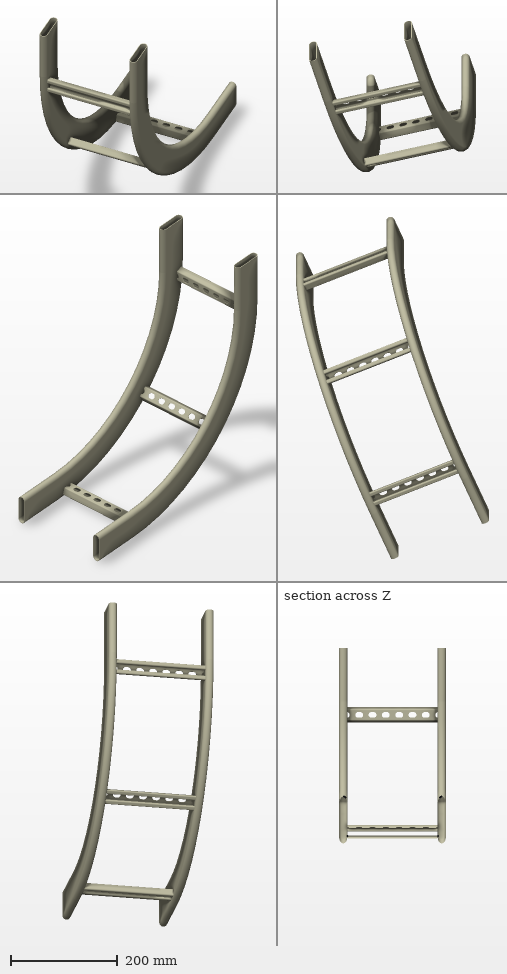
import cadquery as cq
import math


overall_length = 460.0
overall_width = 200.0
straight_length = 100.0
rail_depth = 60.0
rail_thickness = 15.0
rail_wall = 1.15

bend_center = overall_length - straight_length
middle_radius = bend_center - rail_depth / 2
rail_offset = (overall_width - rail_thickness) / 2

rung_length = overall_width - 2 * rail_thickness
rung_width = 30.5
rung_depth = 15.0
rung_sheet = 1.0
mouth_width = 12.5
lip_return = 3.0
side_slope = 18.0
bend_radius = 2.0
rung_inset = 7.0
end_rung_shift = 25.5

rung_mouth_radius = bend_center - rung_inset

slot_length = 14.5
slot_width = 10.5
slot_count = 8
slot_pitch = overall_width / slot_count


def obround_tube_section(plane):
    """Cross-section of a rail, with its depth along the plane's local Y."""
    bore_thickness = rail_thickness - 2 * rail_wall
    bore_depth = rail_depth - 2 * rail_wall
    return (
        cq.Workplane(plane)
        .slot2D(rail_depth, rail_thickness, 90)
        .slot2D(bore_depth, bore_thickness, 90)
    )


def make_rail(x):
    """One rail: straight leg up, quarter bend, straight leg along Y."""
    leg_middle = rail_depth / 2
    diagonal = bend_center - middle_radius * math.cos(math.pi / 4)
    path = (
        cq.Workplane("YZ", origin=(x, 0, 0))
        .moveTo(leg_middle, overall_length)
        .lineTo(leg_middle, bend_center)
        .threePointArc((diagonal, diagonal), (bend_center, leg_middle))
        .lineTo(overall_length, leg_middle)
    )
    top_end = cq.Plane(origin=(x, leg_middle, overall_length), xDir=(1, 0, 0), normal=(0, 0, 1))
    return obround_tube_section(top_end).sweep(path)


def rung_blank():
    """Rung without slots, centred along X, its mouth at Z = 0 and its web at the top."""
    half_sheet = rung_sheet / 2
    bottom = half_sheet
    top = rung_depth - half_sheet
    foot = rung_width / 2 - half_sheet
    shoulder = foot - (top - bottom) * math.tan(math.radians(side_slope))
    lip = mouth_width / 2 + half_sheet
    half_line = [(lip, bottom + lip_return), (lip, bottom), (foot, bottom), (shoulder, top)]
    other_half = [(-y, z) for y, z in reversed(half_line)]
    points = [cq.Vector(-rung_length / 2, y, z) for y, z in half_line + other_half]
    sheet_line = cq.Wire.makePolygon(points).fillet(bend_radius)
    outline = sheet_line.offset2D(half_sheet)[0]
    return cq.Workplane("YZ").add(outline).toPending().extrude(rung_length)


def make_rung():
    """Rung with a row of slots through its web."""
    slots = (
        cq.Workplane("XY", origin=(0, 0, rung_depth / 2))
        .rarray(slot_pitch, 4.5, slot_count, 1)
        .slot2D(slot_length, slot_width)
        .extrude(rung_depth)
    )
    return rung_blank().cut(slots)


def place_rung(rung, tilt, y, z):
    """Turn a rung about X by tilt degrees, then put the middle of its mouth at (y, z)."""
    return rung.rotate((0, 0, 0), (1, 0, 0), tilt).translate((0, y, z))


rails = [make_rail(x) for x in (-rail_offset, rail_offset)]

near_shift = bend_center - end_rung_shift
middle_place = bend_center - rung_mouth_radius * math.cos(math.pi / 4)
rung_places = [
    (-90, rung_inset, near_shift),
    (-45, middle_place, middle_place),
    (0, near_shift, rung_inset),
]
rungs = [place_rung(make_rung(), tilt, y, z) for tilt, y, z in rung_places]

result = cq.Compound.makeCompound([body.val() for body in rails + rungs])